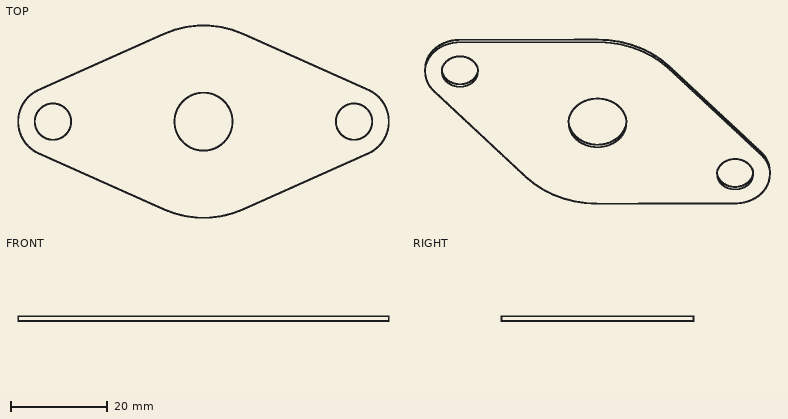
import cadquery as cq
import math

thickness = 1.0
overall_length = 77.0
centre_radius = 20.0
end_radius = 7.25
centre_hole_diameter = 12.0
bolt_hole_diameter = 7.5

bolt_offset = overall_length / 2 - end_radius

edge_tilt = math.asin((centre_radius - end_radius) / bolt_offset)


def tangent_point(arc_centre_x, radius):
    """Upper right point where a straight edge meets an arc centred on the X axis."""
    return (
        arc_centre_x + radius * math.sin(edge_tilt),
        radius * math.cos(edge_tilt),
    )


def make_plate():
    """Flat diamond plate with a wide round middle and two round ends."""
    middle_x, middle_y = tangent_point(0, centre_radius)
    end_x, end_y = tangent_point(bolt_offset, end_radius)
    tip_x = overall_length / 2
    return (
        cq.Workplane("XY")
        .moveTo(-middle_x, middle_y)
        .threePointArc((0, centre_radius), (middle_x, middle_y))
        .lineTo(end_x, end_y)
        .threePointArc((tip_x, 0), (end_x, -end_y))
        .lineTo(middle_x, -middle_y)
        .threePointArc((0, -centre_radius), (-middle_x, -middle_y))
        .lineTo(-end_x, -end_y)
        .threePointArc((-tip_x, 0), (-end_x, end_y))
        .close()
        .extrude(thickness)
    )


def cut_holes(plate):
    """Cut the centre hole and one bolt hole at each end through the plate."""
    plate = plate.faces(">Z").workplane(origin=(0, 0, 0)).hole(centre_hole_diameter)
    return (
        plate.faces(">Z")
        .workplane(origin=(0, 0, 0))
        .pushPoints([(-bolt_offset, 0), (bolt_offset, 0)])
        .hole(bolt_hole_diameter)
    )


result = cut_holes(make_plate())